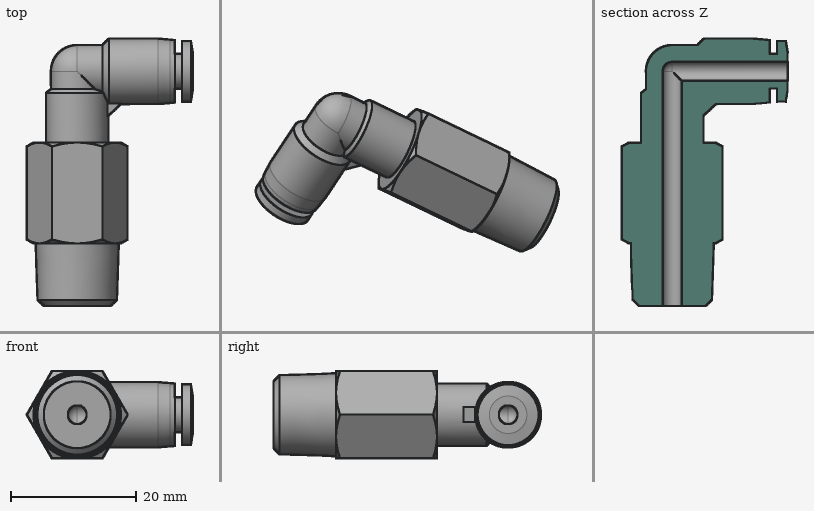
import cadquery as cq
import math

total_length = 42.75

thread_face_radius = 5.35
thread_tip_radius = 6.35
thread_root_radius = 6.65
thread_chamfer_length = 1.0
thread_length = 10.0

hex_across_flats = 14.0
hex_corner_diameter = hex_across_flats / math.cos(math.radians(30))
hex_length = 16.1
hex_end = thread_length + hex_length
hex_chamfer_angle = 30

stem_radius = 5.0
stem_end = 34.07
elbow_radius = 4.25
stem_chamfer_length = 0.6

port_radius = 5.25
port_axis_y = total_length - port_radius
port_start = 4.0
port_chamfer_length = port_radius - elbow_radius
port_taper_start = 12.85
port_band_start = 14.85
port_band_radius = 5.1
port_end = 15.6
port_end_radius = 5.0

collar_neck_radius = 2.82
collar_radius = 4.87
collar_start = 16.7
collar_taper_start = 18.15
collar_end = 18.45
collar_face_radius = 3.0

bore_radius = 1.5
gusset_thickness = 2.4
gusset_reach = 6.95
gusset_bottom = 30.4


def turned_on_y(profile):
    """Revolve (radius, y) points about the stem axis."""
    points = [(0, profile[0][1])] + profile + [(0, profile[-1][1])]
    return cq.Workplane("XY").polyline(points).close().revolve(360, (0, 0), (0, 1))


def turned_on_x(profile):
    """Revolve (x, radius) points about the port axis."""
    points = [(profile[0][0], 0)] + profile + [(profile[-1][0], 0)]
    plane = cq.Workplane("XY", origin=(0, port_axis_y, 0))
    return plane.polyline(points).close().revolve(360, (0, 0), (1, 0))


def make_thread():
    return turned_on_y([
        (thread_face_radius, 0),
        (thread_tip_radius, thread_chamfer_length),
        (thread_root_radius, thread_length),
    ])


def make_hex():
    """Hexagon with its corners on X, both ends trimmed by a cone."""
    prism = (
        cq.Workplane("XZ", origin=(0, thread_length, 0))
        .polygon(6, hex_corner_diameter)
        .extrude(-hex_length)
    )
    face_radius = hex_across_flats / 2
    corner_radius = hex_corner_diameter / 2
    drop = (corner_radius - face_radius) * math.tan(math.radians(hex_chamfer_angle))
    envelope = turned_on_y([
        (face_radius, thread_length),
        (corner_radius, thread_length + drop),
        (corner_radius, hex_end - drop),
        (face_radius, hex_end),
    ])
    return prism.intersect(envelope)


def make_stem():
    return turned_on_y([
        (stem_radius, hex_end),
        (stem_radius, stem_end),
        (elbow_radius, stem_end + stem_chamfer_length),
        (elbow_radius, port_axis_y),
    ])


def make_port():
    return turned_on_x([
        (0, elbow_radius),
        (port_start, elbow_radius),
        (port_start + port_chamfer_length, port_radius),
        (port_taper_start, port_radius),
        (port_band_start, port_band_radius),
        (port_end, port_end_radius),
        (port_end, collar_neck_radius),
        (collar_start, collar_neck_radius),
        (collar_start, collar_radius),
        (collar_taper_start, collar_radius),
        (collar_end, collar_face_radius),
    ])


def ball(radius):
    return cq.Workplane("XY", origin=(0, port_axis_y, 0)).sphere(radius)


def make_gusset():
    """A 45 degree web in the inside corner between stem and port."""
    port_bottom = port_axis_y - port_radius
    outline = [
        (0, gusset_bottom),
        (stem_radius, gusset_bottom),
        (gusset_reach, port_bottom),
        (gusset_reach, port_axis_y - elbow_radius),
        (0, port_axis_y - elbow_radius),
    ]
    return cq.Workplane("XY").polyline(outline).close().extrude(gusset_thickness / 2, both=True)


def make_bore():
    """Passage from the threaded face, round the elbow and out of the collar."""
    stem_bore = turned_on_y([(bore_radius, 0), (bore_radius, port_axis_y)])
    port_bore = turned_on_x([(0, bore_radius), (collar_end, bore_radius)])
    return stem_bore.union(port_bore).union(ball(bore_radius))


body = make_thread().union(make_hex()).union(make_stem())
body = body.union(make_port()).union(ball(elbow_radius)).union(make_gusset())
result = body.cut(make_bore())